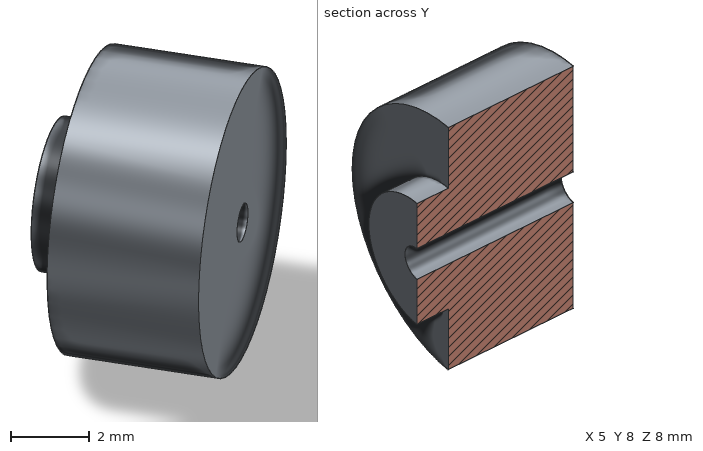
import cadquery as cq

wheel_diameter = 8.0
wheel_width = 4.0
hub_diameter = wheel_diameter / 2
hub_length = 1.0
bore_diameter = 1.0


def disc(diameter, start_x, length):
    """Solid cylinder on the X axis, running toward +X from start_x."""
    return cq.Workplane("YZ", origin=(start_x, 0, 0)).circle(diameter / 2).extrude(length)


wheel = disc(wheel_diameter, 0, wheel_width)
hub = disc(hub_diameter, -hub_length, hub_length)

bore = disc(bore_diameter, -hub_length, hub_length + wheel_width)

result = wheel.union(hub).cut(bore)